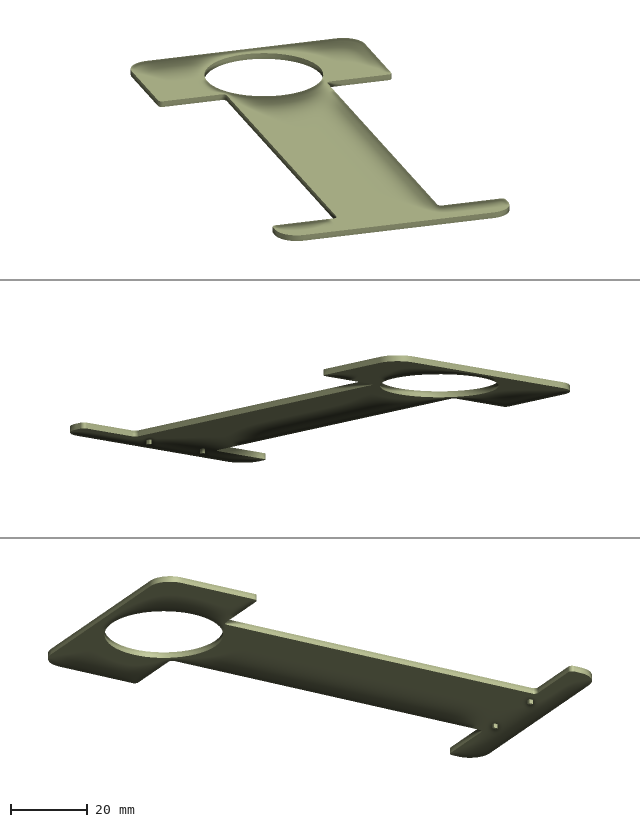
import cadquery as cq

LENGTH = 132.0
WIDTH = 64.0
THICKNESS = 1.6
HEAD_LENGTH = 29.0
CROSSBAR_LENGTH = 9.0
NECK_WIDTH = 27.7
END_CORNER_RADIUS = 6.0
SHOULDER_RADIUS = 1.0

HOLE_DIAMETER = 31.0
HOLE_X = 19.0

TOTAL_HEIGHT = 2.8
PIN_HEIGHT = TOTAL_HEIGHT - THICKNESS
PIN_LENGTH = 1.0
PIN_WIDTH = 0.8
PIN_X = 123.5
PIN_SPACING = 18.6
PIN_PAIR_Y = -0.7


def make_plate():
    """Plate with its left edge at X = 0, centred on Y, underside at Z = 0."""
    sheet = cq.Workplane("XY").box(LENGTH, WIDTH, THICKNESS, centered=(False, True, False))
    sheet = sheet.edges("|Z").fillet(END_CORNER_RADIUS)

    notch_length = LENGTH - HEAD_LENGTH - CROSSBAR_LENGTH
    notch_depth = (WIDTH - NECK_WIDTH) / 2
    notch_x = HEAD_LENGTH + notch_length / 2
    notch_y = (NECK_WIDTH + notch_depth) / 2
    notches = (
        cq.Workplane("XY")
        .pushPoints([(notch_x, notch_y), (notch_x, -notch_y)])
        .rect(notch_length, notch_depth)
        .extrude(THICKNESS)
    )
    sheet = sheet.cut(notches)

    notch_corners = cq.selectors.BoxSelector(
        (HEAD_LENGTH - SHOULDER_RADIUS, -WIDTH, -THICKNESS),
        (LENGTH - CROSSBAR_LENGTH + SHOULDER_RADIUS, WIDTH, 2 * THICKNESS),
    )
    sheet = sheet.edges("|Z").edges(notch_corners).fillet(SHOULDER_RADIUS)

    hole = cq.Workplane("XY").center(HOLE_X, 0).circle(HOLE_DIAMETER / 2).extrude(THICKNESS)
    return sheet.cut(hole)


def make_pin(y):
    """Rectangular pin hanging from the underside of the plate."""
    return cq.Workplane("XY").center(PIN_X, y).rect(PIN_LENGTH, PIN_WIDTH).extrude(-PIN_HEIGHT)


plate = make_plate()
pins = [make_pin(PIN_PAIR_Y + side * PIN_SPACING / 2) for side in (-1, 1)]

result = cq.Compound.makeCompound([plate.val(), *[pin.val() for pin in pins]])